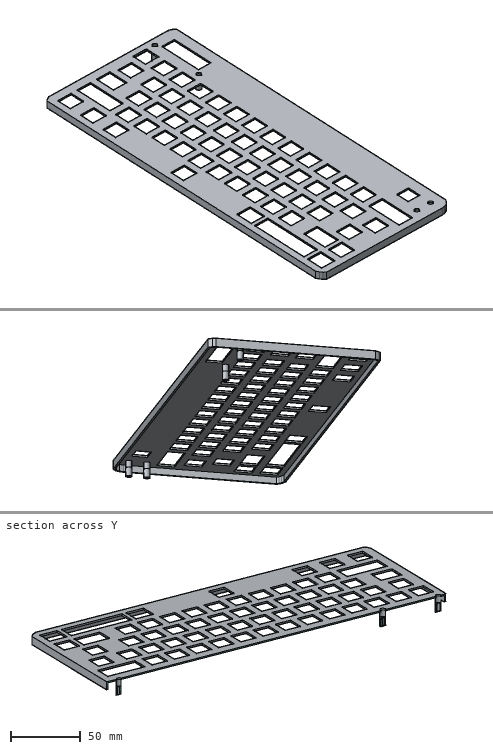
import cadquery as cq

plate_length = 291.7
plate_width = 127.5
total_height = 12.8
skirt_height = 6.5
wall_thickness = 1.5
sheet_underside = skirt_height - wall_thickness
peg_bottom = skirt_height - total_height
half_length = plate_length / 2
half_width = plate_width / 2

top_left_facets = [(0.0, 5.3), (1.0, 2.5), (3.0, 0.0)]
top_right_facets = [(5.5, 0.0), (2.3, 2.0), (0.5, 5.3), (0.0, 8.5)]
bottom_right_facets = [(0.0, 5.0), (1.8, 3.0), (3.8, 1.5), (6.5, 0.0)]
bottom_left_facets = [(2.5, 0.0), (1.8, 1.2), (0.0, 4.5)]

grid_length = 286.0
units_across = 15
key_unit = grid_length / units_across
left_margin = 2.5
front_margin = 3.0
grid_left = -half_length + left_margin
grid_front = -half_width + front_margin
key_cut = 13.0

key_rows = [
    [0.5 + i for i in range(13)],
    [0.75] + [2.0 + i for i in range(12)] + [14.25],
    [2.25 + i for i in range(11)] + [13.875],
    [2.75 + i for i in range(10)] + [14.5],
    [0.625, 1.875, 3.125, 6.875],
]

wide_left = grid_left + key_rows[4][0] * key_unit - key_cut / 2
wide_right = grid_left + key_rows[3][-1] * key_unit + key_cut / 2
wide_keys = [
    (0, wide_right - 31.8, wide_right),
    (2, wide_left, wide_left + 17.8),
    (3, wide_left, wide_left + 34.5),
    (3, 100.5, 122.8),
    (4, 50.5, 65.5),
    (4, 69.0, 121.0),
    (4, wide_right - 15.0, wide_right),
]

window_back = 54.0
windows = [
    (-134.8, -96.3, 41.7, window_back),
    (111.5, 123.5, 42.5, window_back),
]

peg_diameter = 4.7
peg_bore = 2.0
screw_hole = 4.0
peg_centres = [(-139.5, 39.0), (-92.2, 38.2), (135.3, 53.5), (135.3, 40.0)]


def plate_outline():
    """Corner facet points, clockwise from the left end of the back edge."""
    corners = [
        (-1, 1, top_left_facets),
        (1, 1, top_right_facets),
        (1, -1, bottom_right_facets),
        (-1, -1, bottom_left_facets),
    ]
    return [
        (side_x * (half_length - inset_x), side_y * (half_width - inset_y))
        for side_x, side_y, facets in corners
        for inset_x, inset_y in facets
    ]


def row_centre(row):
    """Y of a key row, counted from the back."""
    rows_in_front = len(key_rows) - 1 - row
    return grid_front + (rows_in_front + 0.5) * key_unit


def opening(left, right, front, back):
    """Rectangular cutter through the top sheet."""
    centre = ((left + right) / 2, (front + back) / 2)
    return cq.Workplane("XY").center(*centre).rect(right - left, back - front).extrude(skirt_height)


def rods(diameter, bottom, top):
    """Vertical cylinders at every peg centre."""
    base = cq.Workplane("XY", origin=(0, 0, bottom))
    return base.pushPoints(peg_centres).circle(diameter / 2).extrude(top - bottom)


result = cq.Workplane("XY").polyline(plate_outline()).close().extrude(skirt_height)
hollow = (
    cq.Workplane("XY")
    .polyline(plate_outline())
    .close()
    .offset2D(-wall_thickness)
    .extrude(sheet_underside)
)
result = result.cut(hollow)

for row, centres in enumerate(key_rows):
    key_points = [(grid_left + position * key_unit, row_centre(row)) for position in centres]
    keys = cq.Workplane("XY").pushPoints(key_points).rect(key_cut, key_cut).extrude(skirt_height)
    result = result.cut(keys)

for row, left, right in wide_keys:
    front = row_centre(row) - key_cut / 2
    result = result.cut(opening(left, right, front, front + key_cut))

for window in windows:
    result = result.cut(opening(*window))

result = result.union(rods(peg_diameter, peg_bottom, sheet_underside))
result = result.cut(rods(peg_bore, peg_bottom, 0))
result = result.cut(rods(screw_hole, 0, skirt_height))